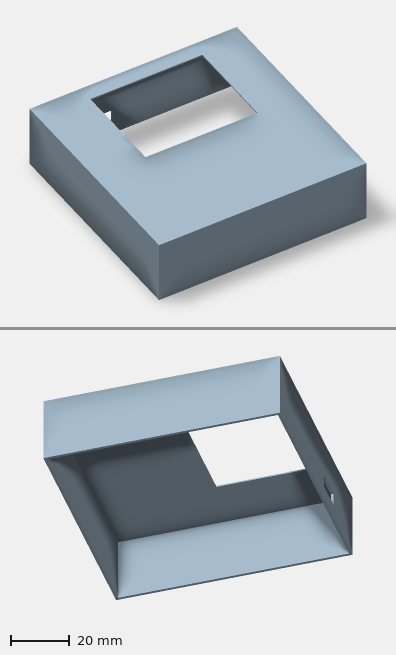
import cadquery as cq

length = 84.5
width = 82.9
height = 24.5
wall = 1.0
top_thickness = 0.5
wall_height = height - top_thickness

window_length = 36.0
window_width = 44.8
window_x = 6.4
window_y = 20.4

port_width = 10.8
port_height = 5.0
port_y = 21.6
port_z = 5.3


def corner_box(size, corner):
    """Box of the given size, starting at its lowest X, Y, Z corner."""
    return cq.Workplane("XY").box(*size, centered=False).translate(corner)


outer = corner_box((length, width, wall_height), (0, 0, 0))
cavity = corner_box((length - 2 * wall, width - 2 * wall, wall_height), (wall, wall, 0))
port = corner_box((wall, port_width, port_height), (0, port_y, port_z))
walls = outer.cut(cavity).cut(port)

plate = corner_box((length, width, top_thickness), (0, 0, wall_height))
window = corner_box(
    (window_length, window_width, top_thickness),
    (window_x, window_y, wall_height),
)
top = plate.cut(window)

result = walls.union(top, clean=False)